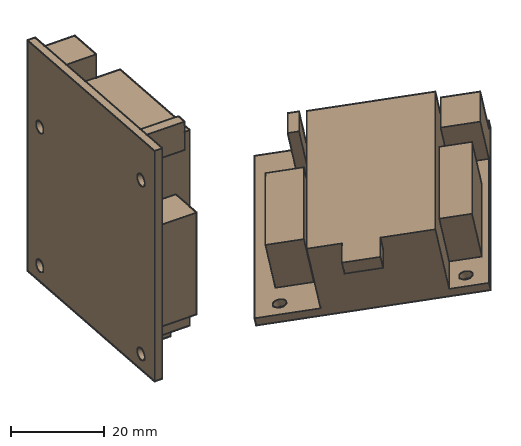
import cadquery as cq

overall_height = 66.0
overall_depth = 18.0
board_width = 51.0
board_height = 59.0
board_thickness = 2.0

hole_diameter = 3.0
left_hole_x = 5.0
right_hole_x = 45.55
lower_hole_z = 4.0
upper_left_hole_z = 39.55
upper_right_hole_z = 48.5

housing_left = 8.65
housing_right = 36.6
housing_height = 50.0

tongue_left = 20.6
tongue_width = 8.4
tongue_thickness = 3.0

connector_back = 12.0
connector_bottom = 45.0
connector_top = 56.0

terminal_back = 13.5
terminal_bottom = 9.9
terminal_top = 36.0
left_terminal_left = 1.5
right_terminal_left = 38.1
right_terminal_right = 46.45
post_left = 39.15
post_right = 41.65
post_bottom = 49.3
post_top = 56.55


def block(x_range, y_range, z_range):
    """Box spanning the given (low, high) pairs."""
    sizes = [high - low for low, high in (x_range, y_range, z_range)]
    corner = (x_range[0], y_range[0], z_range[0])
    return cq.Workplane("XY").box(*sizes, centered=False).translate(corner)


def mounted_block(x_range, back, z_range):
    """Box that starts at the front face of the board, so it joins the board solidly."""
    return block(x_range, (0, back), z_range)


def mounting_holes():
    centers = [
        (left_hole_x, lower_hole_z),
        (right_hole_x, lower_hole_z),
        (left_hole_x, upper_left_hole_z),
        (right_hole_x, upper_right_hole_z),
    ]
    return cq.Workplane("XZ").pushPoints(centers).circle(hole_diameter / 2).extrude(-board_thickness)


board = mounted_block((0, board_width), board_thickness, (0, board_height))
housing = mounted_block((housing_left, housing_right), overall_depth, (0, housing_height))
tongue = block(
    (tongue_left, tongue_left + tongue_width),
    (overall_depth - tongue_thickness, overall_depth),
    (board_height - overall_height, 0),
)
connector = mounted_block((0, housing_left), connector_back, (connector_bottom, connector_top))
terminal_z = (terminal_bottom, terminal_top)
left_terminal = mounted_block((left_terminal_left, housing_left), terminal_back, terminal_z)
right_terminal = mounted_block((right_terminal_left, right_terminal_right), terminal_back, terminal_z)
post = mounted_block((post_left, post_right), terminal_back, (post_bottom, post_top))

result = board
for component in (housing, tongue, connector, left_terminal, right_terminal, post):
    result = result.union(component)
result = result.cut(mounting_holes())